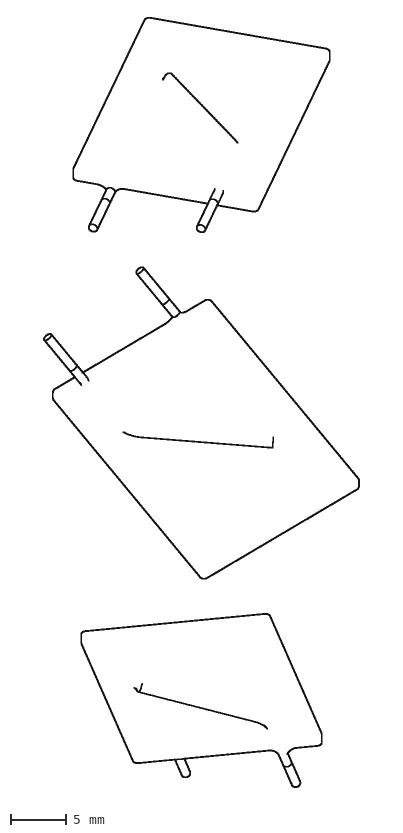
import cadquery as cq
import math

overall_length = 29.78

plate_width = 17.5
plate_length = 24.05
plate_thickness = 1.25
corner_radius = 0.48
edge_radius = 0.223

lead_radius = 0.42
lead_x = 5.1
lead_tip_y = plate_length - overall_length
stub_length = 1.7

flare_radius = 0.98
bend_start_y = 5.27
bend_radius = 3.0
ridge_end_y = 15.3
top_ridge_end_x = -4.08
bottom_ridge_end_x = -lead_x
cap_slices = 13
root_depth = 0.3

plate_top = plate_thickness / 2
root_z = plate_top - root_depth
wire_z = plate_top + lead_radius
crest_z = wire_z + lead_radius
flare_z = plate_top + flare_radius
flare_rise = flare_z - wire_z
flare_reach = 2 * math.sqrt(lead_radius * flare_radius)
flare_turn = math.atan2(flare_reach, flare_rise)
tangent_offset = lead_radius * math.sin(flare_turn)
tangent_z = wire_z + lead_radius * math.cos(flare_turn)


def flare_middle(run, rim_z):
    """Distance from the rim and height of the midpoint of a flare arc.

    The arc starts on the rim, at height rim_z, and meets the plate a distance run further out.
    """
    rim_angle = math.atan2(flare_z - rim_z, run)
    mid_angle = (rim_angle + math.pi / 2) / 2
    return run - flare_radius * math.cos(mid_angle), flare_z - flare_radius * math.sin(mid_angle)


def ridge_section():
    """Cross-section at the front of the top ridge: rounded crest, concave flares and a root."""
    mid_distance, mid_z = flare_middle(flare_reach - tangent_offset, tangent_z)
    mid_offset = tangent_offset + mid_distance
    return (
        cq.Workplane("XZ", origin=(lead_x, 0, 0))
        .moveTo(-flare_reach, root_z)
        .lineTo(-flare_reach, plate_top)
        .threePointArc((-mid_offset, mid_z), (-tangent_offset, tangent_z))
        .threePointArc((0, crest_z), (tangent_offset, tangent_z))
        .threePointArc((mid_offset, mid_z), (flare_reach, plate_top))
        .lineTo(flare_reach, root_z)
        .close()
    )


def cap_section(turn):
    """Upright slice of a cap, from a point on the rim of the flat wire end down to the plate.

    The rim point is at the angle turn from the crest. The flare arc touches the rim there and is
    tangent to the plate. X runs across the ridge and Y points past its end.
    """
    rim_x = lead_radius * math.sin(turn)
    rim_z = wire_z + lead_radius * math.cos(turn)
    foot_x = flare_rise * math.tan(turn)
    rim_gap = math.hypot(foot_x, flare_rise) - lead_radius
    foot_y = math.sqrt(max(flare_radius**2 - rim_gap**2, 0))
    run = math.hypot(foot_x - rim_x, foot_y)
    mid_distance, mid_z = flare_middle(run, rim_z)
    mid_share = mid_distance / run

    rim = cq.Vector(rim_x, 0, rim_z)
    middle = cq.Vector(rim_x + mid_share * (foot_x - rim_x), mid_share * foot_y, mid_z)
    foot = cq.Vector(foot_x, foot_y, plate_top)
    foot_root = cq.Vector(foot_x, foot_y, root_z)
    rim_root = cq.Vector(rim_x, 0, root_z)
    return cq.Wire.assembleEdges([
        cq.Edge.makeThreePointArc(rim, middle, foot),
        cq.Edge.makeLine(foot, foot_root),
        cq.Edge.makeLine(foot_root, rim_root),
        cq.Edge.makeLine(rim_root, rim),
    ])


def ridge_cap(end_x, bend_angle):
    """Rounded end of a ridge, lofted through slices from one flare round to the other."""
    spacing = [math.pi * (step / (cap_slices - 1) - 0.5) for step in range(cap_slices)]
    slices = [cap_section(flare_turn * math.sin(angle)) for angle in spacing]
    cap = cq.Workplane(cq.Solid.makeLoft(slices))
    return cap.rotate((0, 0, 0), (0, 0, 1), math.degrees(bend_angle)).translate((end_x, ridge_end_y, 0))


def ridge(end_x):
    """Ridge on the top face: straight from the front edge, bent to -X, then straight to its cap."""
    bend_x = lead_x - bend_radius
    to_end_x = bend_x - end_x
    to_end_y = ridge_end_y - bend_start_y
    slant_length = math.sqrt(to_end_x**2 + to_end_y**2 - bend_radius**2)
    bend_angle = math.atan2(to_end_x, to_end_y) + math.atan2(bend_radius, slant_length)

    def on_bend(angle):
        return (bend_x + bend_radius * math.cos(angle), bend_start_y + bend_radius * math.sin(angle))

    path = (
        cq.Workplane("XY")
        .moveTo(lead_x, 0)
        .lineTo(lead_x, bend_start_y)
        .threePointArc(on_bend(bend_angle / 2), on_bend(bend_angle))
        .lineTo(end_x, ridge_end_y)
    )
    return ridge_section().sweep(path).union(ridge_cap(end_x, bend_angle))


def turned_over(body):
    """The same body on the underside, at the opposite X."""
    return body.rotate((0, 0, 0), (0, 1, 0), 180)


def lead_rod(back_y, front_y):
    """Round rod on the top lead's axis between two Y positions."""
    return (
        cq.Workplane("XZ", origin=(lead_x, back_y, wire_z))
        .circle(lead_radius)
        .extrude(back_y - front_y)
    )


def make_housing():
    """Plate with a ridge on each side, rounded edges and a stub at the front of each ridge."""
    plate = (
        cq.Workplane("XY")
        .box(plate_width, plate_length, plate_thickness, centered=(True, False, True))
        .edges("|Z")
        .fillet(corner_radius)
    )
    body = plate.union(ridge(top_ridge_end_x)).union(turned_over(ridge(bottom_ridge_end_x)))
    body = body.faces("<Y").edges("not(|Z)").fillet(edge_radius)
    stub = lead_rod(bend_start_y, -stub_length)
    return body.union(stub).union(turned_over(stub)).solids()


def make_leads():
    """The two leads, each continuing its stub to the front tip."""
    lead = lead_rod(-stub_length, lead_tip_y)
    return [lead, turned_over(lead)]


housing = make_housing()
leads = make_leads()

result = cq.Compound.makeCompound([housing.val(), *[lead.val() for lead in leads]])